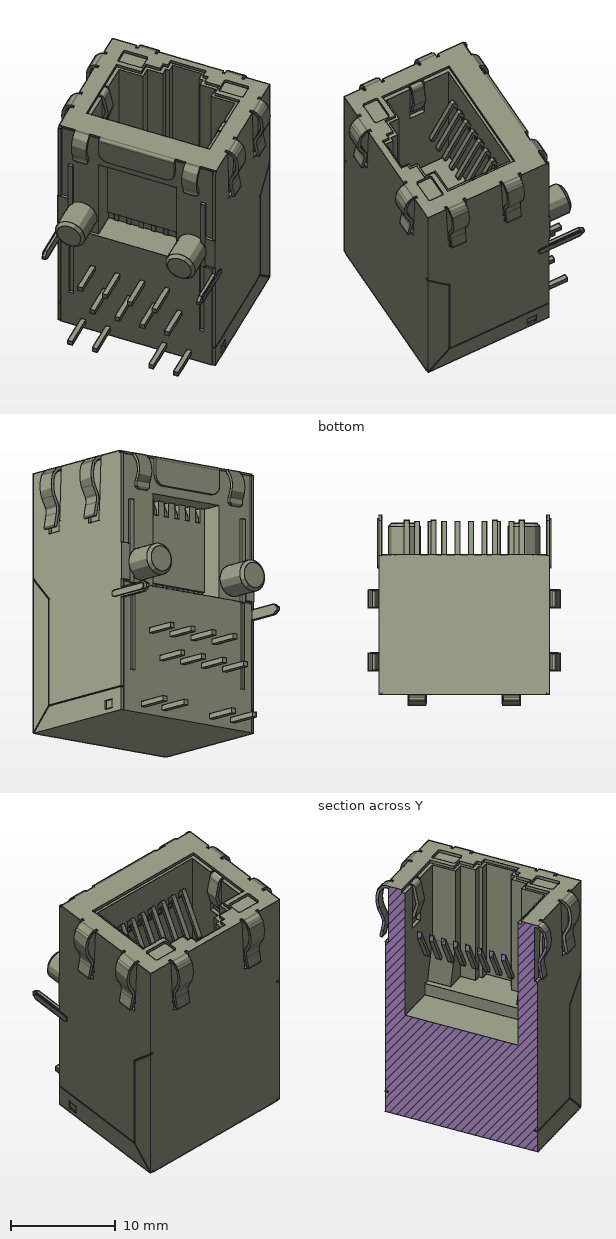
import cadquery as cq
import math


HEIGHT = 25.4
WIDTH = 16.3
DEPTH = 13.35
HALF_WIDTH = WIDTH / 2
SHEET = 0.3

PANEL_RECESS = 0.28
PANEL_BOTTOM = 12.62
TOP_EDGE_RECESS = 0.33
TOP_SHEET_BOTTOM = 25.2
SIDE_EDGE_RECESS = 0.08
TAB_INNER_X = 7.1
TAB_BOTTOM = 12.83
TAB_TOP = 16.4
RIB_X = 6.85
GROOVE_X = 6.75
RIB_WIDTH = 0.45
RIB_TOP = 20.78
GROOVE_BOTTOM = 4.11
FLAP_HALF_WIDTH = 3.9
FLAP_BOTTOM = 22.63
FLAP_CORNER = 0.97

WINDOW_HALF_WIDTH = 4.05
WINDOW_TOP = 21.75
WINDOW_BACK = 2.45
CONTACT_COUNT = 8
CONTACT_SPAN = 9.0
CONTACT_PITCH = CONTACT_SPAN / (CONTACT_COUNT - 1)
CONTACT_WIDTH = 0.45
CONTACT_THICKNESS = 0.35
CONTACT_LEG_Y = 2.85
CONTACT_LEG_TOP = 20.83
CONTACT_APEX = (3.53, 22.05)
CONTACT_TIP = (5.82, 17.78)
CONTACT_SLOT_WIDTH = 0.53
CONTACT_SLOT_BOTTOM = 20.35
LOWER_GAP_BACK = 2.75
LOWER_GAP_TOP = 13.61

CAVITY_FRONT = 3.15
CAVITY_STEPS = [(6.0, 9.93), (3.53, 11.0), (1.93, 11.7), (1.52, 12.47)]
RIM_FRONT = 2.87
RIM_STEPS = [(6.38, 10.19), (3.8, 11.3), (2.3, 12.01), (1.83, 12.7)]
RIM_DEPTH = 0.3
LATCH_FLOOR = 12.7
PLUG_FLOOR = 11.43
PLUG_FLOOR_BACK = 8.3
SHOULDER_FOOT_Y = 8.9
SHOULDER_TOP = 16.76

LIGHT_X = 5.23
LIGHT_Y = 11.48
LIGHT_SIZE = (2.51, 1.6)
LIGHT_CORNER = 0.2
LIGHT_DEPTH = 0.3

FINGER_TOP_WIDTH = 1.78
FINGER_END_WIDTH = 1.52
FINGER_SLOT_TOP_WIDTH = 2.24
FINGER_SLOT_END_WIDTH = 1.75
FINGER_SLOT_TAPER_END = 20.12
FINGER_SLOT_FOOT_WIDTH = 1.55
FINGER_SLOT_BOTTOM = 19.1
FINGER_REACH = 1.02
FINGER_SHOULDER = [(0.28, 25.1), (0.48, 24.87)]
FINGER_BOW_START = (0.65, 24.7)
FINGER_CREST_Z = 23.52
FINGER_BOW_END = (0.65, 22.5)
FINGER_HEEL_START = (0.23, 21.65)
FINGER_HEEL = [(0.15, 21.2), (0.2, 20.78)]
FINGER_TIP = (0.43, 19.6)
SIDE_FINGER_YS = (4.22, 10.24)
BACK_FINGER_X = 4.5

FRONT_FINGER_WIDTH = 1.52
FRONT_FINGER_CORNER = 0.25
FRONT_FINGER_END = 21.82
FRONT_FINGER_BOW = [(0.48, 23.88), (0.18, 22.65)]
FRONT_FINGER_HEEL = (0.1, 22.28)
FRONT_FINGER_TIP_REACH = 0.15
INNER_FINGER_Y = 6.55
INNER_FINGER_WIDTH = 1.25
INNER_NOTCH_WIDTH = 1.6
INNER_NOTCH_BOTTOM = 20.32
INNER_FINGER_TOP = 25.0
INNER_FINGER_SHOULDER = [(6.07, 24.9), (5.92, 24.6)]
INNER_FINGER_CREST = (5.6, 22.99)
INNER_FINGER_TIP = (6.05, 21.46)

PEG_X = 5.72
PEG_Z = 14.6
PEG_DIAMETER = 3.05
PEG_LENGTH = 3.0
PEG_CHAMFER = 0.3
GROUND_PIN_Z = 11.53
GROUND_PIN_WIDTH = 1.0
GROUND_PIN_LENGTH = 3.78
GROUND_PIN_TAPER = 0.5
GROUND_PIN_TIP = 0.3
BEAD_WIDTH = 0.64
BEAD_HEIGHT = 0.13
BEAD_BACK = 1.3
BEAD_FRONT = -3.43
PIN_SIZE = 0.48
SIGNAL_PIN_LENGTH = 3.18
LIGHT_PIN_LENGTH = 3.3
SIGNAL_ROW_ZS = (8.23, 5.72)
LIGHT_PIN_Z = 0.9
LIGHT_PIN_XS = (-5.49, -2.92, 2.92, 5.49)

SEAM_WIDTH = 0.1
SEAM_Y = 11.0
SEAM_LOW_Z = 2.3
SEAM_CORNER_Z = 12.75
LATCH_Y = (1.45, 2.5)
LATCH_Z = (0.45, 1.3)
LATCH_DEPTH = 0.15

OVERLAP = 0.25


def box(x_range, y_range, z_range):
    """Axis-aligned box between the given limits."""
    lows, highs = zip(x_range, y_range, z_range)
    size = [high - low for low, high in zip(lows, highs)]
    return cq.Workplane("XY").box(*size, centered=False).translate(lows)


def on_both_sides(shape):
    """The shape together with its mirror image across x = 0."""
    return shape.union(shape.mirror("YZ"))


def stepped_prism(front, steps, bottom):
    """Symmetric stepped opening reaching from the top down to z = bottom."""
    right = []
    y = front
    for half_width, back in steps:
        right += [(half_width, y), (half_width, back)]
        y = back
    left = [(-x, y) for x, y in reversed(right)]
    outline = cq.Workplane("XY").workplane(offset=bottom).polyline(right + left).close()
    return outline.extrude(HEIGHT - bottom)


def strip(path, thickness, width):
    """Sheet strip following an open path drawn in the XZ plane, centred on y = 0."""
    return path.wire().offset2D(thickness / 2).extrude(width / 2, both=True)


def taper_blank(top_width, end_width, end_z, start, stop):
    """Blank from x = start to stop that narrows from the top down to end_z."""
    outline = [
        (-top_width / 2, HEIGHT),
        (top_width / 2, HEIGHT),
        (end_width / 2, end_z),
        (-end_width / 2, end_z),
    ]
    return cq.Workplane("YZ").workplane(offset=start).polyline(outline).close().extrude(stop - start)


def finger():
    """Spring finger standing off a wall at x = 0 and facing +X."""
    top = HEIGHT - SHEET / 2
    crest = FINGER_REACH - SHEET / 2
    path = (
        cq.Workplane("XZ")
        .moveTo(-SHEET - OVERLAP, top)
        .lineTo(0, top)
        .threePointArc(*FINGER_SHOULDER)
        .lineTo(*FINGER_BOW_START)
        .threePointArc((crest, FINGER_CREST_Z), FINGER_BOW_END)
        .lineTo(*FINGER_HEEL_START)
        .threePointArc(*FINGER_HEEL)
        .lineTo(*FINGER_TIP)
    )
    blank = taper_blank(
        FINGER_TOP_WIDTH, FINGER_END_WIDTH, FINGER_SLOT_BOTTOM, -SHEET - 2 * OVERLAP, FINGER_REACH + OVERLAP
    )
    return strip(path, SHEET, FINGER_TOP_WIDTH).intersect(blank)


def front_finger():
    """Short spring finger standing off the plane x = 0 and facing +X, with its end corners cut."""
    end = FRONT_FINGER_END + SHEET / 2
    path = (
        cq.Workplane("XZ")
        .moveTo(-PANEL_RECESS - OVERLAP, HEIGHT - SHEET / 2)
        .lineTo(-PANEL_RECESS, HEIGHT - SHEET / 2)
        .threePointArc(*FRONT_FINGER_BOW)
        .threePointArc(FRONT_FINGER_HEEL, (FRONT_FINGER_TIP_REACH, end))
    )
    outline = (
        cq.Workplane("YZ")
        .workplane(offset=-PANEL_RECESS - 2 * OVERLAP)
        .rect(FRONT_FINGER_WIDTH, 2 * (HEIGHT - FRONT_FINGER_END))
        .extrude(FINGER_REACH + PANEL_RECESS + 2 * OVERLAP)
        .edges("|X")
        .chamfer(FRONT_FINGER_CORNER)
        .translate((0, 0, HEIGHT))
    )
    return strip(path, SHEET, FRONT_FINGER_WIDTH).intersect(outline)


def inner_finger():
    """Spring finger bulging from the right cavity wall toward the plug."""
    rim = RIM_STEPS[0][0]
    path = (
        cq.Workplane("XZ")
        .moveTo(rim + OVERLAP, INNER_FINGER_TOP)
        .lineTo(rim, INNER_FINGER_TOP)
        .threePointArc(*INNER_FINGER_SHOULDER)
        .lineTo(*INNER_FINGER_CREST)
        .lineTo(*INNER_FINGER_TIP)
    )
    return strip(path, SHEET, INNER_FINGER_WIDTH).translate((0, INNER_FINGER_Y, 0))


def contact_xs():
    """Centre positions of the contacts, from left to right."""
    return [i * CONTACT_PITCH - CONTACT_SPAN / 2 for i in range(CONTACT_COUNT)]


body = box((-HALF_WIDTH, HALF_WIDTH), (0, DEPTH), (0, HEIGHT))
cavity = stepped_prism(CAVITY_FRONT, CAVITY_STEPS, LATCH_FLOOR)
cavity_half_width, cavity_back = CAVITY_STEPS[0]
latch_half_width = CAVITY_STEPS[1][0]
shoulder = (
    cq.Workplane("YZ")
    .workplane(offset=latch_half_width)
    .polyline([(SHOULDER_FOOT_Y, LATCH_FLOOR), (cavity_back, LATCH_FLOOR), (cavity_back, SHOULDER_TOP)])
    .close()
    .extrude(cavity_half_width - latch_half_width)
)
body = body.cut(cavity.cut(on_both_sides(shoulder)))
body = body.cut(
    box((-cavity_half_width, cavity_half_width), (CAVITY_FRONT, PLUG_FLOOR_BACK), (PLUG_FLOOR, LATCH_FLOOR))
)
body = body.cut(stepped_prism(RIM_FRONT, RIM_STEPS, HEIGHT - RIM_DEPTH))

notch_half = INNER_NOTCH_WIDTH / 2
inner_notch = box(
    (cavity_half_width - OVERLAP, RIM_STEPS[0][0]),
    (INNER_FINGER_Y - notch_half, INNER_FINGER_Y + notch_half),
    (INNER_NOTCH_BOTTOM, HEIGHT),
)
body = body.cut(on_both_sides(inner_notch)).union(on_both_sides(inner_finger()))

light_window = (
    cq.Workplane("XY")
    .box(*LIGHT_SIZE, 2 * LIGHT_DEPTH)
    .edges("|Z")
    .fillet(LIGHT_CORNER)
    .translate((LIGHT_X, LIGHT_Y, HEIGHT))
)
body = body.cut(on_both_sides(light_window))

panel_half_width = HALF_WIDTH - SHEET
body = body.cut(box((-panel_half_width, panel_half_width), (0, PANEL_RECESS), (PANEL_BOTTOM, HEIGHT)))
body = body.cut(on_both_sides(box((panel_half_width, HALF_WIDTH), (0, SIDE_EDGE_RECESS), (0, HEIGHT))))
body = body.cut(box((-HALF_WIDTH, HALF_WIDTH), (0, TOP_EDGE_RECESS), (TOP_SHEET_BOTTOM, HEIGHT)))

tab = box((TAB_INNER_X, HALF_WIDTH), (0, PANEL_RECESS + OVERLAP), (TAB_BOTTOM, TAB_TOP))
rib_half = RIB_WIDTH / 2
rib = box((RIB_X - rib_half, RIB_X + rib_half), (0, PANEL_RECESS + OVERLAP), (PANEL_BOTTOM, RIB_TOP))
groove = box((GROOVE_X - rib_half, GROOVE_X + rib_half), (0, PANEL_RECESS), (GROOVE_BOTTOM, PANEL_BOTTOM))
body = body.cut(on_both_sides(groove)).union(on_both_sides(tab)).union(on_both_sides(rib))

flap = (
    box((-FLAP_HALF_WIDTH, FLAP_HALF_WIDTH), (0, PANEL_RECESS + OVERLAP), (FLAP_BOTTOM, HEIGHT))
    .edges("|Y and <Z")
    .fillet(FLAP_CORNER)
    .edges("<Y and >Z")
    .fillet(SHEET)
)
body = body.union(flap)

window_x = (-WINDOW_HALF_WIDTH, WINDOW_HALF_WIDTH)
body = body.cut(box(window_x, (0, WINDOW_BACK), (PANEL_BOTTOM, WINDOW_TOP)))
body = body.cut(box(window_x, (WINDOW_BACK, LOWER_GAP_BACK), (PANEL_BOTTOM, LOWER_GAP_TOP)))
for x in contact_xs():
    if abs(x) < WINDOW_HALF_WIDTH:
        slot_x = (x - CONTACT_SLOT_WIDTH / 2, x + CONTACT_SLOT_WIDTH / 2)
        slot_z = (CONTACT_SLOT_BOTTOM, WINDOW_TOP)
        body = body.cut(box(slot_x, (WINDOW_BACK, CAVITY_FRONT), slot_z))

contact_path = (
    cq.Workplane("XZ")
    .moveTo(CONTACT_LEG_Y, PANEL_BOTTOM - OVERLAP)
    .lineTo(CONTACT_LEG_Y, CONTACT_LEG_TOP)
    .lineTo(*CONTACT_APEX)
    .lineTo(*CONTACT_TIP)
)
contact = strip(contact_path, CONTACT_THICKNESS, CONTACT_WIDTH).rotate((0, 0, 0), (0, 0, 1), 90)
for x in contact_xs():
    body = body.union(contact.translate((x, 0, 0)))

seam_corner = (SEAM_Y, SEAM_CORNER_Z)
seam_low = (SEAM_Y, SEAM_LOW_Z)
seams = [
    ((DEPTH, SEAM_CORNER_Z + DEPTH - SEAM_Y), seam_corner),
    (seam_corner, seam_low),
    (seam_low, (0, SEAM_LOW_Z)),
    (seam_low, (DEPTH, 0)),
]
for (y0, z0), (y1, z1) in seams:
    length = math.hypot(y1 - y0, z1 - z0) + SEAM_WIDTH
    slope = math.degrees(math.atan2(z1 - z0, y1 - y0))
    seam = (
        cq.Workplane("YZ", origin=(HALF_WIDTH - SHEET, (y0 + y1) / 2, (z0 + z1) / 2))
        .slot2D(length, SEAM_WIDTH, slope)
        .extrude(SHEET)
    )
    body = body.cut(on_both_sides(seam))
body = body.cut(on_both_sides(box((HALF_WIDTH - LATCH_DEPTH, HALF_WIDTH), LATCH_Y, LATCH_Z)))

finger_slot = taper_blank(FINGER_SLOT_TOP_WIDTH, FINGER_SLOT_END_WIDTH, FINGER_SLOT_TAPER_END, -SHEET, 0)
foot_half = FINGER_SLOT_FOOT_WIDTH / 2
finger_slot = finger_slot.union(
    box((-SHEET, 0), (-foot_half, foot_half), (FINGER_SLOT_BOTTOM, FINGER_SLOT_TAPER_END))
)
places = [(0, HALF_WIDTH, y) for y in SIDE_FINGER_YS] + [(90, BACK_FINGER_X, DEPTH)]
for angle, x, y in places:
    placed_slot = finger_slot.rotate((0, 0, 0), (0, 0, 1), angle).translate((x, y, 0))
    placed_finger = finger().rotate((0, 0, 0), (0, 0, 1), angle).translate((x, y, 0))
    body = body.cut(on_both_sides(placed_slot)).union(on_both_sides(placed_finger))

placed_front_finger = front_finger().rotate((0, 0, 0), (0, 0, 1), -90).translate((PEG_X, 0, 0))
body = body.union(on_both_sides(placed_front_finger))

peg = (
    cq.Workplane("XZ", origin=(PEG_X, PANEL_RECESS + OVERLAP, PEG_Z))
    .circle(PEG_DIAMETER / 2)
    .extrude(PEG_LENGTH + PANEL_RECESS + OVERLAP)
    .faces("<Y")
    .chamfer(PEG_CHAMFER)
)
body = body.union(on_both_sides(peg))

pin_half = GROUND_PIN_WIDTH / 2
tip_half = GROUND_PIN_TIP / 2
ground_pin = (
    cq.Workplane("YZ", origin=(HALF_WIDTH - SHEET, 0, GROUND_PIN_Z))
    .moveTo(OVERLAP, -pin_half)
    .lineTo(GROUND_PIN_TAPER - GROUND_PIN_LENGTH, -pin_half)
    .lineTo(-GROUND_PIN_LENGTH, -tip_half)
    .lineTo(-GROUND_PIN_LENGTH, tip_half)
    .lineTo(GROUND_PIN_TAPER - GROUND_PIN_LENGTH, pin_half)
    .lineTo(OVERLAP, pin_half)
    .close()
    .extrude(SHEET)
)
bead = (
    cq.Workplane("YZ", origin=(HALF_WIDTH - SHEET / 2, (BEAD_BACK + BEAD_FRONT) / 2, GROUND_PIN_Z))
    .slot2D(BEAD_BACK - BEAD_FRONT, BEAD_WIDTH)
    .extrude(SHEET / 2 + BEAD_HEIGHT)
)
body = body.union(on_both_sides(ground_pin.union(bead)))

pins = []
for i, x in enumerate(contact_xs()):
    pins.append((x, SIGNAL_ROW_ZS[i % 2], SIGNAL_PIN_LENGTH))
for x in LIGHT_PIN_XS:
    pins.append((x, LIGHT_PIN_Z, LIGHT_PIN_LENGTH))
half = PIN_SIZE / 2
for x, z, length in pins:
    body = body.union(box((x - half, x + half), (-length, OVERLAP), (z - half, z + half)))

result = body